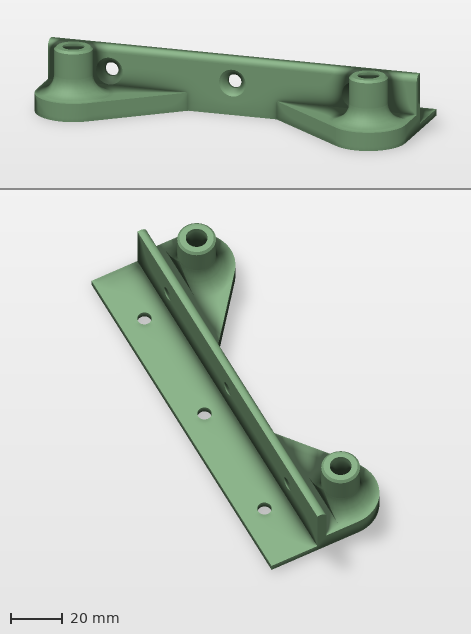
import cadquery as cq
import math

length = 150.0
flange_depth = 20.0
flange_thickness = 2.7
wall_thickness = 4.0
wall_height = 23.1
wall_edge_radius = 2.7

pad_radius = 15.0
pad_thickness = 7.4
pad_reach = 57.0
post_diameter = 15.0
post_radius = post_diameter / 2
post_top = 26.0
post_chamfer = 0.9
bore_diameter = 8.4
flare_radius = pad_radius - post_radius

screw_diameter = 5.5
countersink_diameter = 10.8
countersink_angle = 90
screw_pitch = length / 3
wall_screw_height = 12.9

total_depth = 53.0
back_y = total_depth - pad_radius
wall_back_y = back_y - flange_depth
wall_front_y = wall_back_y - wall_thickness
flange_screw_y = back_y - flange_depth / 2
post_x = length / 2 - pad_radius
screw_positions = [-screw_pitch, 0, screw_pitch]


def make_rail():
    flange = cq.Workplane("XY").box(
        length, back_y - wall_front_y, flange_thickness, centered=(True, False, False)
    )
    wall = cq.Workplane("XY").box(length, wall_thickness, wall_height, centered=(True, False, False))
    wall = wall.faces(">Z").edges("<Y").fillet(wall_edge_radius)
    return flange.union(wall).translate((0, wall_front_y, 0))


def make_left_pad():
    """Pad whose sloping side runs from the wall and meets the round end tangentially."""
    outer_x = -post_x - pad_radius
    corner_dx = pad_reach - pad_radius
    corner_distance = math.hypot(corner_dx, wall_front_y)
    tangent_angle = math.atan2(wall_front_y, corner_dx) - math.acos(pad_radius / corner_distance)
    tangent_x = -post_x + pad_radius * math.cos(tangent_angle)
    tangent_y = pad_radius * math.sin(tangent_angle)
    return (
        cq.Workplane("XY")
        .moveTo(outer_x, wall_back_y)
        .lineTo(outer_x, 0)
        .threePointArc((-post_x, -pad_radius), (tangent_x, tangent_y))
        .lineTo(outer_x + pad_reach, wall_front_y)
        .lineTo(outer_x + pad_reach, wall_back_y)
        .close()
        .extrude(pad_thickness)
    )


def make_left_post():
    """Post with a concave flare at its foot, cut flat on the side facing the wall."""
    flare_top = pad_thickness + flare_radius
    arc_offset = flare_radius * (1 - math.sqrt(0.5))
    post = (
        cq.Workplane("XZ")
        .lineTo(pad_radius, 0)
        .lineTo(pad_radius, pad_thickness)
        .threePointArc((post_radius + arc_offset, pad_thickness + arc_offset), (post_radius, flare_top))
        .lineTo(post_radius, post_top - post_chamfer)
        .lineTo(post_radius - post_chamfer, post_top)
        .lineTo(0, post_top)
        .close()
        .revolve(360, (0, 0, 0), (0, 1, 0))
    )
    keep = cq.Workplane("XY").box(
        2 * pad_radius, pad_radius + post_radius, post_top, centered=(True, False, False)
    ).translate((0, -pad_radius, 0))
    return post.intersect(keep).translate((-post_x, 0, 0))


left_foot = make_left_pad().union(make_left_post())
result = make_rail().union(left_foot).union(left_foot.mirror("YZ"))

result = result.cut(
    cq.Workplane("XY").pushPoints([(-post_x, 0), (post_x, 0)]).circle(bore_diameter / 2).extrude(post_top)
)

result = result.cut(
    cq.Workplane("XY")
    .pushPoints([(x, flange_screw_y) for x in screw_positions])
    .circle(screw_diameter / 2)
    .extrude(flange_thickness)
)

result = (
    result.copyWorkplane(cq.Workplane("XZ", origin=(0, wall_front_y, 0)))
    .pushPoints([(x, wall_screw_height) for x in screw_positions])
    .cskHole(screw_diameter, countersink_diameter, countersink_angle, depth=wall_thickness)
)